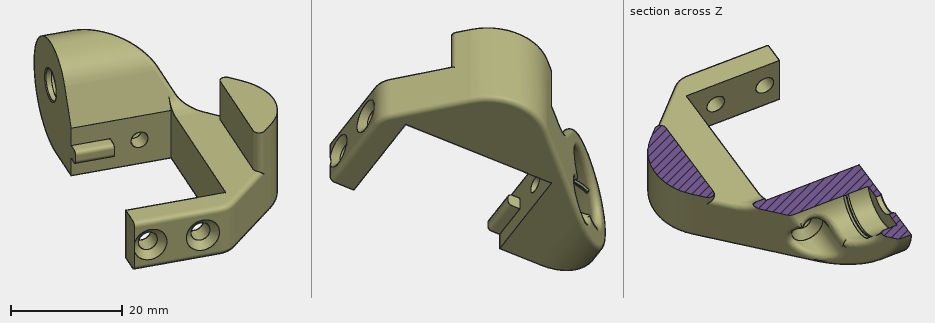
import cadquery as cq
import math

LENGTH = 55.5
DEPTH = 33.4
BAR_HEIGHT = 10.0

LEG_INNER_LEFT = 20.5
LEG_INNER_RIGHT = 50.6
BAR_FRONT_Y = 19.0
SLOPE_START_Y = 2.5
CORNER_RADIUS = 4.5
WALL_FILLET = 1.0

PAD_FRONT_Y = 26.3
PAD_TOP_Z = 18.1
PAD_CORNER_RADIUS = 1.1

HOUSING_RADIUS = 9.0
HOUSING_X = HOUSING_RADIUS
HOUSING_Z = 12.5
LOWER_RADIUS = 12.0
NECK_RADIUS = 4.0

BORE_DIAMETER = 11.5
BORE_FLOOR_Y = 1.2
FRONT_HOLE_DIAMETER = 6.0
FRONT_HOLE_CHAMFER = 0.2
RIDGE_CENTER_Y = 5.7
RIDGE_WIDTH = 1.0
RIDGE_CREST = 0.15
RIDGE_HEIGHT = 0.2
RIDGE_START_X = 5.5

TAB_LENGTH = 2.45
TAB_HEIGHT = 2.7
TAB_DEPTH = 7.4
TAB_CORNER_RADIUS = 0.85

SCREW_Z = BAR_HEIGHT / 2
SCREW_Y = 13.0
SCREW_PITCH = 10.0
LEFT_SCREW_DIAMETER = 3.2
RIGHT_SCREW_DIAMETER = 3.6
SCREW_HEAD_DIAMETER = 6.3
SCREW_GRIP = LENGTH - LEG_INNER_RIGHT
MOUTH_FILLET = 1.0

MID_X = (LEG_INNER_LEFT + LEG_INNER_RIGHT) / 2
DIAGONAL = math.cos(math.radians(45))
APEX_Y = MID_X + SLOPE_START_Y
CROWN_RADIUS = (APEX_Y - DEPTH) / (math.sqrt(2) - 1)
CROWN_HALF_WIDTH = CROWN_RADIUS * DIAGONAL
CROWN_END_Y = APEX_Y - CROWN_HALF_WIDTH
CORNER_Y = APEX_Y - (LENGTH - MID_X)
CORNER_HALF_ANGLE = math.radians(45) / 2
CORNER_TANGENT = CORNER_RADIUS * math.tan(CORNER_HALF_ANGLE)


def plan_outline():
    """Frame outline in plan: 45 degree slopes meeting in a round crown."""
    corner_mid_x = LENGTH - CORNER_RADIUS * (1 - math.cos(CORNER_HALF_ANGLE))
    corner_mid_y = CORNER_Y - CORNER_TANGENT + CORNER_RADIUS * math.sin(CORNER_HALF_ANGLE)
    return (
        cq.Workplane("XY")
        .moveTo(0, 0)
        .lineTo(0, SLOPE_START_Y)
        .lineTo(MID_X - CROWN_HALF_WIDTH, CROWN_END_Y)
        .threePointArc((MID_X, DEPTH), (MID_X + CROWN_HALF_WIDTH, CROWN_END_Y))
        .lineTo(LENGTH - CORNER_TANGENT * DIAGONAL, CORNER_Y + CORNER_TANGENT * DIAGONAL)
        .threePointArc((corner_mid_x, corner_mid_y), (LENGTH, CORNER_Y - CORNER_TANGENT))
        .lineTo(LENGTH, 0)
        .lineTo(LEG_INNER_RIGHT, 0)
        .lineTo(LEG_INNER_RIGHT, BAR_FRONT_Y)
        .lineTo(LEG_INNER_LEFT, BAR_FRONT_Y)
        .lineTo(LEG_INNER_LEFT, 0)
        .close()
    )


def side_profile(neck_radius, start_y, end_y):
    """Housing and bar seen along Y, extruded from start_y to end_y."""
    dx = LEG_INNER_LEFT - HOUSING_X
    dz = BAR_HEIGHT - HOUSING_Z
    normal = math.atan2(dz, dx) + math.acos(HOUSING_RADIUS / math.hypot(dx, dz))
    tangent_point = (
        HOUSING_X + HOUSING_RADIUS * math.cos(normal),
        HOUSING_Z + HOUSING_RADIUS * math.sin(normal),
    )
    lower_mid = LOWER_RADIUS * (1 - DIAGONAL)
    profile = (
        cq.Workplane("XZ", origin=(0, start_y, 0))
        .moveTo(LOWER_RADIUS, 0)
        .threePointArc((lower_mid, lower_mid), (0, LOWER_RADIUS))
        .lineTo(0, HOUSING_Z)
        .threePointArc((HOUSING_X, HOUSING_Z + HOUSING_RADIUS), tangent_point)
    )
    if neck_radius > 0:
        steepness = math.pi / 2 - normal
        reach = neck_radius * math.tan(steepness / 2)
        neck_start = (
            LEG_INNER_LEFT - reach * math.cos(steepness),
            BAR_HEIGHT + reach * math.sin(steepness),
        )
        neck_mid = (
            LEG_INNER_LEFT + reach - neck_radius * math.sin(steepness / 2),
            BAR_HEIGHT + neck_radius * (1 - math.cos(steepness / 2)),
        )
        neck_end = (LEG_INNER_LEFT + reach, BAR_HEIGHT)
        profile = profile.lineTo(*neck_start).threePointArc(neck_mid, neck_end)
    else:
        profile = profile.lineTo(LEG_INNER_LEFT, BAR_HEIGHT)
    profile = profile.lineTo(LENGTH, BAR_HEIGHT).lineTo(LENGTH, 0).close()
    return profile.extrude(start_y - end_y)


def frame():
    """Frame with housing; the neck is rounded only behind the front face of the bar."""
    envelope = side_profile(0, 0, BAR_FRONT_Y).union(side_profile(NECK_RADIUS, BAR_FRONT_Y, DEPTH))
    return plan_outline().extrude(HOUSING_Z + HOUSING_RADIUS).intersect(envelope)


def round_wall(body):
    """Round the long edges of the outer wall, from the left slope to the right leg."""
    wall = body.faces().filter(lambda face: face.normalAt().y > DIAGONAL / 2)
    edges = wall.add(body.faces(">X")).edges("not |Z")
    return edges.fillet(WALL_FILLET)


def pad():
    """Raised pad following the outer wall, with rounded front corners; its foot sits inside the bar."""
    front = cq.Workplane("XY").rect(2 * LENGTH, 2 * PAD_FRONT_Y).extrude(PAD_TOP_Z)
    block = plan_outline().extrude(PAD_TOP_Z).cut(front)
    block = block.edges("|Z and <Y").fillet(PAD_CORNER_RADIUS)
    below = cq.Workplane("XY").rect(2 * LENGTH, 2 * DEPTH).extrude(BAR_HEIGHT / 2)
    return block.cut(below)


def tab():
    """Locating tab with rounded top and bottom corners, beside the left leg."""
    block = cq.Workplane("XY").box(2 * TAB_LENGTH, TAB_DEPTH, TAB_HEIGHT)
    block = block.edges("|Y and >X").fillet(TAB_CORNER_RADIUS)
    return block.translate((LEG_INNER_LEFT, TAB_DEPTH / 2, SCREW_Z))


def bore(diameter):
    """Round hole along the housing axis, from the bore floor out through the left slope."""
    return (
        cq.Workplane("XZ", origin=(HOUSING_X, BORE_FLOOR_Y, HOUSING_Z))
        .circle(diameter / 2)
        .extrude(BORE_FLOOR_Y - DEPTH)
    )


def front_hole():
    """Through hole from the front face into the bore, chamfered at the front."""
    radius = FRONT_HOLE_DIAMETER / 2
    hole = cq.Workplane("XZ").circle(radius).extrude(-2 * BORE_FLOOR_Y)
    mouth = cq.Solid.makeCone(
        radius + FRONT_HOLE_CHAMFER, radius, FRONT_HOLE_CHAMFER, cq.Vector(), cq.Vector(0, 1, 0)
    )
    return hole.union(cq.Workplane(mouth)).translate((HOUSING_X, 0, HOUSING_Z))


def screw_hole(start_x, direction, y, diameter):
    """Countersunk hole along X; the part under the head is SCREW_GRIP long."""
    axis = cq.Vector(direction, 0, 0)
    radius = diameter / 2
    head_radius = SCREW_HEAD_DIAMETER / 2
    sink = head_radius - radius
    start = cq.Vector(start_x, y, SCREW_Z)
    shank = cq.Solid.makeCylinder(radius, SCREW_GRIP, start, axis)
    cone = cq.Solid.makeCone(radius, head_radius, sink, start + axis * (SCREW_GRIP - sink), axis)
    head = cq.Solid.makeCylinder(head_radius, LENGTH, start + axis * SCREW_GRIP, axis)
    return cq.Workplane(shank.fuse(cone, head))


def faces_left_slope(face):
    """True for a flat face lying on the left 45 degree slope."""
    normal = face.normalAt()
    return face.geomType() == "PLANE" and normal.y > 0 and normal.x < 0


def flared(hole):
    """The hole as a cutter whose mouth on the left slope widens in a round."""
    reach = LENGTH + DEPTH
    block = (
        cq.Workplane("XY", origin=(0, 0, -DEPTH))
        .moveTo(-reach, SLOPE_START_Y - reach)
        .lineTo(reach, SLOPE_START_Y + reach)
        .lineTo(reach, SLOPE_START_Y - reach)
        .close()
        .extrude(2 * DEPTH)
    )
    drilled = block.cut(hole)
    mouth = drilled.faces().filter(faces_left_slope).val().innerWires()[0]
    rounded = drilled.newObject(mouth.Edges()).fillet(MOUTH_FILLET)
    return block.cut(rounded)


def is_bore_crossing(edge):
    """True for the free-form edge where the bore and the left screw head recess meet."""
    free_form = edge.geomType() == "BSPLINE"
    center = edge.Center()
    near_bore = math.hypot(center.x - HOUSING_X, center.z - HOUSING_Z) < BORE_DIAMETER / 2
    return free_form and near_bore


def open_housing(body):
    """Cut the bore and the left screw hole, round the edge between them and both mouths."""
    main_bore = bore(BORE_DIAMETER)
    screw = screw_hole(LEG_INNER_LEFT, -1, SCREW_Y, LEFT_SCREW_DIAMETER)
    body = body.cut(main_bore).cut(screw)
    body = body.edges().filter(is_bore_crossing).fillet(MOUTH_FILLET)
    return body.cut(flared(main_bore)).cut(flared(screw)).cut(front_hole())


def snap_ridge():
    """Shallow ridge with a flat crest around the bore wall, stopping short of the mouth."""
    radius = BORE_DIAMETER / 2
    half_base = RIDGE_WIDTH / 2
    half_crest = RIDGE_CREST / 2
    ring = (
        cq.Workplane("XY")
        .moveTo(radius + RIDGE_HEIGHT, -half_base)
        .lineTo(radius, -half_base)
        .lineTo(radius - RIDGE_HEIGHT, -half_crest)
        .lineTo(radius - RIDGE_HEIGHT, half_crest)
        .lineTo(radius, half_base)
        .lineTo(radius + RIDGE_HEIGHT, half_base)
        .close()
        .revolve(360, (0, 0, 0), (0, 1, 0))
        .translate((HOUSING_X, RIDGE_CENTER_Y, HOUSING_Z))
    )
    mouth_side = cq.Workplane("XY").box(2 * RIDGE_START_X, DEPTH, LENGTH)
    return ring.cut(mouth_side)


body = round_wall(frame()).union(pad()).union(tab())
body = open_housing(body).union(snap_ridge())
for y in (SCREW_Y, SCREW_Y - SCREW_PITCH):
    body = body.cut(screw_hole(LEG_INNER_RIGHT, 1, y, RIGHT_SCREW_DIAMETER))
result = body